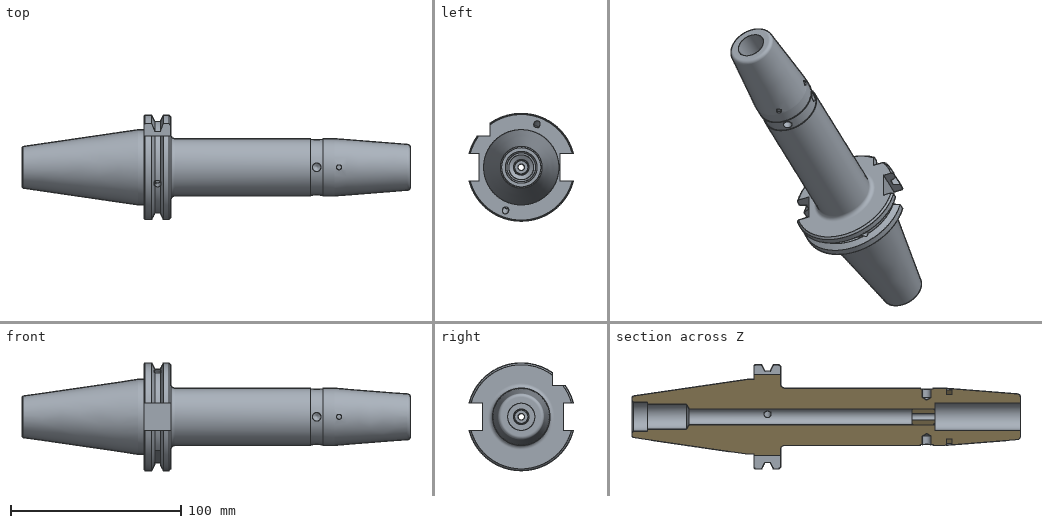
import cadquery as cq
import math

total_length = 228.5
drill_tip_half_angle = math.radians(59)

gauge_x = 68.3
gauge_radius = 22.2
taper_slope = 7 / 48
small_end_radius = gauge_radius - taper_slope * gauge_x
small_end_chamfer = 0.7

flange_x = 71.7
flange_width = 15.8
flange_end_x = flange_x + flange_width
flange_radius = 31.7
flange_front_chamfer = 0.7
flange_back_chamfer = 1.1

groove_x = 79.7
groove_half_width = 3.5
groove_floor_half_width = 1.5
groove_floor_radius = 28.0

flat_angle = 255.0
flat_half_span = math.radians(30)
flat_distance = groove_floor_radius * math.cos(flat_half_span)

slot_width = 16.0
slot_floor_plus_y = 25.0
slot_floor_minus_y = 22.8
notch_corner = 18.5

neck_radius = 17.0
neck_fillet = 2.5
band_x = 169.5
band_end_x = 177.0
band_radius = 16.5
nose_x = 183.9
nose_taper_angle = math.radians(4.5)
nose_end_radius = neck_radius - (total_length - nose_x) * math.tan(nose_taper_angle)
nose_fillet = 2.0

entry_radius = 8.5
entry_chamfer = 1.0
entry_depth = 9.1
thread_radius = 7.3
thread_depth = 32.0
core_radius = 4.5
thread_tip_x = thread_depth + (thread_radius - core_radius) / math.tan(drill_tip_half_angle)
clamp_radius = 8.0
clamp_x = 178.2

stop_screw_length = 13.7
stop_screw_x = clamp_x - stop_screw_length
stop_screw_chamfer = 0.7
stop_screw_hole_radius = 1.8

radial_angles = (0.0, 90.0, 180.0, 270.0)
balance_x = (band_x + band_end_x) / 2
balance_radius = 2.5
balance_depth = 5.0
balance_tip_length = balance_radius / math.tan(drill_tip_half_angle)
plug_x = 186.4
plug_radius = 1.48
plug_hole_depth = 3.7
plug_recess = 1.1
plug_hole_floor = neck_radius - plug_hole_depth
plug_length = plug_hole_depth - plug_recess

coolant_angles = (110.0, 290.0)
inlet_pitch_radius = 27.0
inlet_radius = 1.8
inlet_slant = math.radians(28)
cross_radius = 2.0
seal_depth = 6.9
seal_length = 3.5

clearance = 2.3


def direction(angle):
    """Unit vector pointing outward from the X axis, `angle` degrees from +Y toward +Z."""
    return cq.Vector(0, math.cos(math.radians(angle)), math.sin(math.radians(angle)))


def radial_cylinder(x, angle, radius, inner, length):
    """Cylinder along a radius of the holder, starting `inner` away from its axis."""
    outward = direction(angle)
    return cq.Solid.makeCylinder(radius, length, cq.Vector(x, 0, 0) + outward * inner, outward)


def revolve(profile):
    return profile.close().revolve(360, (0, 0, 0), (1, 0, 0))


def holder_blank():
    profile = cq.Workplane("XY").polyline([
        (0, 0),
        (0, small_end_radius - small_end_chamfer),
        (small_end_chamfer, small_end_radius + taper_slope * small_end_chamfer),
        (gauge_x, gauge_radius),
        (flange_x, gauge_radius),
        (flange_x, flange_radius - flange_front_chamfer),
        (flange_x + flange_front_chamfer, flange_radius),
        (groove_x - groove_half_width, flange_radius),
        (groove_x - groove_floor_half_width, groove_floor_radius),
        (groove_x + groove_floor_half_width, groove_floor_radius),
        (groove_x + groove_half_width, flange_radius),
        (flange_end_x - flange_back_chamfer, flange_radius),
        (flange_end_x, flange_radius - flange_back_chamfer),
        (flange_end_x, neck_radius + neck_fillet),
    ])
    profile = profile.radiusArc((flange_end_x + neck_fillet, neck_radius), -neck_fillet)
    for point in (
        (band_x, neck_radius),
        (band_x, band_radius),
        (band_end_x, band_radius),
        (band_end_x, neck_radius),
        (nose_x, neck_radius),
        (total_length, nose_end_radius),
        (total_length, 0),
    ):
        profile = profile.lineTo(*point)
    return revolve(profile).faces(">X").edges().fillet(nose_fillet)


def bore():
    return revolve(cq.Workplane("XY").polyline([
        (0, 0),
        (0, entry_radius + entry_chamfer),
        (entry_chamfer, entry_radius),
        (entry_depth, entry_radius),
        (entry_depth, thread_radius),
        (thread_depth, thread_radius),
        (thread_tip_x, core_radius),
        (clamp_x, core_radius),
        (clamp_x, clamp_radius),
        (total_length, clamp_radius),
        (total_length, 0),
    ]))


def drive_slot(side, floor):
    """Slot through the flange on the +Y (side 1) or -Y (side -1) flank."""
    depth = flange_radius - floor + clearance
    center = (flange_x + flange_width / 2, side * (floor + depth / 2), 0)
    return cq.Workplane("XY").box(flange_width, depth, slot_width).translate(center)


def orientation_notch():
    corner = cq.Workplane("XY").box(flange_width, flange_radius, flange_radius, centered=False)
    return corner.translate((flange_x, notch_corner, notch_corner))


def groove_flat():
    thickness = groove_floor_radius - flat_distance
    slab = cq.Workplane("XY").box(2 * groove_floor_half_width, thickness, 2 * groove_floor_radius)
    slab = slab.translate((groove_x, flat_distance + thickness / 2, 0))
    return slab.rotate((0, 0, 0), (1, 0, 0), flat_angle)


def balancing_hole(angle):
    floor = band_radius - balance_depth
    hole = radial_cylinder(balance_x, angle, balance_radius, floor, balance_depth + clearance)
    outward = direction(angle)
    tip_base = cq.Vector(balance_x, 0, 0) + outward * floor
    tip = cq.Solid.makeCone(balance_radius, 0, balance_tip_length, tip_base, outward * -1)
    return hole.fuse(tip)


def slanted_inlet(angle):
    """Hole from the flange face, sloping toward the axis and ending at the radial coolant hole."""
    outward = direction(angle)
    along = cq.Vector(math.cos(inlet_slant), 0, 0) - outward * math.sin(inlet_slant)
    start = cq.Vector(flange_x, 0, 0) + outward * inlet_pitch_radius - along * clearance
    length = clearance + (groove_x - flange_x) / math.cos(inlet_slant)
    return cq.Solid.makeCylinder(inlet_radius, length, start, along)


def make_holder():
    body = holder_blank().cut(bore())
    body = body.cut(drive_slot(1, slot_floor_plus_y))
    body = body.cut(drive_slot(-1, slot_floor_minus_y))
    body = body.cut(orientation_notch())
    body = body.cut(groove_flat())
    for angle in coolant_angles:
        body = body.cut(cq.Workplane(slanted_inlet(angle)))
        body = body.cut(cq.Workplane(radial_cylinder(groove_x, angle, cross_radius, 0, flange_radius)))
    for angle in radial_angles:
        body = body.cut(cq.Workplane(balancing_hole(angle)))
        plug_hole = radial_cylinder(plug_x, angle, plug_radius, plug_hole_floor, plug_hole_depth + clearance)
        body = body.cut(cq.Workplane(plug_hole))
    return body


def make_stop_screw():
    screw = cq.Workplane("YZ").workplane(offset=stop_screw_x)
    screw = screw.circle(core_radius).extrude(stop_screw_length)
    screw = screw.edges().chamfer(stop_screw_chamfer)
    return screw.faces("<X").workplane().hole(2 * stop_screw_hole_radius)


def make_nose_plug(angle):
    return radial_cylinder(plug_x, angle, plug_radius, plug_hole_floor, plug_length)


def make_coolant_seal(angle):
    floor = groove_floor_radius - seal_depth - seal_length
    return radial_cylinder(groove_x, angle, cross_radius, floor, seal_length)


holder = make_holder()
stop_screw = make_stop_screw()
nose_plugs = [make_nose_plug(angle) for angle in radial_angles]
coolant_seals = [make_coolant_seal(angle) for angle in coolant_angles]

result = cq.Compound.makeCompound([holder.val(), stop_screw.val(), *nose_plugs, *coolant_seals])